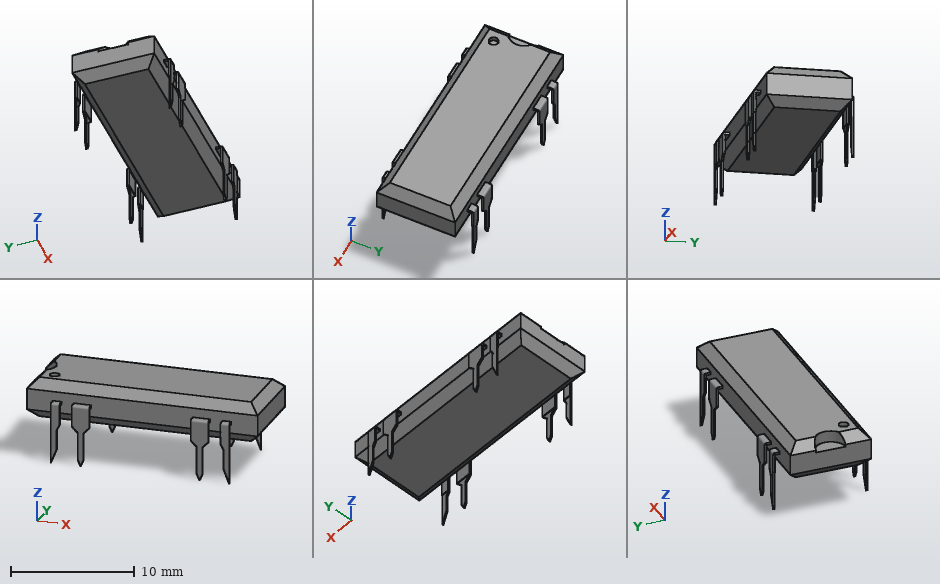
import cadquery as cq

body_length = 19.69
body_width = 7.1
body_height = 3.4
overall_width = 8.3
overall_height = 6.77

edge_bevel = 0.8
notch_radius = 1.3
notch_depth = 1.0
dot_diameter = 0.8
dot_depth = 0.4
dot_from_end = 1.81
dot_from_middle = 1.87

lead_thickness = 0.2
leg_thickness = 0.15
lead_drop = 1.6
bend_radius = lead_thickness

wide_width = 1.5
narrow_width = 0.75
leg_width = 0.5
shoulder_height = (wide_width - leg_width) / 2
wide_tip_height = 0.53
narrow_tip_height = 1.2

wide_center = 5.08
narrow_outer_edge = 7.62

lead_top = body_height - lead_drop
shoulder_top = 0.0
shoulder_bottom = shoulder_top - shoulder_height
tip_bottom = body_height - overall_height
lead_face = overall_width / 2
body_face = body_width / 2


def make_body():
    """Bevelled block with an end notch and a pin-one dot in its top."""
    block = (
        cq.Workplane("XY")
        .box(body_length, body_width, body_height, centered=(True, True, False))
        .faces("<Z or >Z")
        .edges()
        .chamfer(edge_bevel)
    )
    notch = (
        cq.Workplane("XY", origin=(-body_length / 2, 0, body_height - notch_depth))
        .circle(notch_radius)
        .extrude(notch_depth)
    )
    dot_x = dot_from_end - body_length / 2
    dot = (
        cq.Workplane("XY", origin=(dot_x, -dot_from_middle, body_height - dot_depth))
        .circle(dot_diameter / 2)
        .extrude(dot_depth)
    )
    return block.cut(notch).cut(dot)


def make_sheet():
    """Bent strip of full body length on the -Y side, thinner along the legs."""
    bend_y = bend_radius - lead_face
    bend_z = lead_top - bend_radius
    inner_face = lead_thickness - lead_face
    leg_inner_face = leg_thickness - lead_face
    return (
        cq.Workplane("YZ", origin=(-body_length / 2, 0, 0))
        .moveTo(-body_face, lead_top)
        .lineTo(bend_y, lead_top)
        .radiusArc((-lead_face, bend_z), -bend_radius)
        .lineTo(-lead_face, tip_bottom)
        .lineTo(leg_inner_face, tip_bottom)
        .lineTo(leg_inner_face, shoulder_top)
        .lineTo(inner_face, shoulder_top)
        .lineTo(inner_face, lead_top - lead_thickness)
        .lineTo(-body_face, lead_top - lead_thickness)
        .close()
        .extrude(body_length)
    )


def cut_lead(outline_points):
    """Lead on the -Y side, cut from the sheet to an outline in X and Z."""
    outline = (
        cq.Workplane("XZ")
        .polyline(outline_points)
        .close()
        .extrude(lead_face)
    )
    return make_sheet().intersect(outline)


def make_wide_lead():
    """Lead with a leg at its middle and a centered point, on the -X half."""
    half_width = wide_width / 2
    half_leg = leg_width / 2
    tip_top = tip_bottom + wide_tip_height
    return cut_lead([
        (-wide_center - half_width, lead_top),
        (-wide_center - half_width, shoulder_top),
        (-wide_center - half_leg, shoulder_bottom),
        (-wide_center - half_leg, tip_top),
        (-wide_center, tip_bottom),
        (-wide_center + half_leg, tip_top),
        (-wide_center + half_leg, shoulder_bottom),
        (-wide_center + half_width, shoulder_top),
        (-wide_center + half_width, lead_top),
    ])


def make_narrow_lead():
    """Lead with a leg and a point along its outer edge, on the -X half."""
    outer_x = -narrow_outer_edge
    tip_top = tip_bottom + narrow_tip_height
    return cut_lead([
        (outer_x, lead_top),
        (outer_x, tip_bottom),
        (outer_x + leg_width, tip_top),
        (outer_x + leg_width, shoulder_bottom),
        (outer_x + narrow_width, shoulder_top),
        (outer_x + narrow_width, lead_top),
    ])


def four_corners(lead):
    """The lead and its mirror copies in the other three quarters."""
    leads = []
    for row in (lead, lead.mirror("XZ")):
        for copy in (row, row.mirror("YZ")):
            leads.append(copy.val())
    return leads


body = make_body()
wide_leads = four_corners(make_wide_lead())
narrow_leads = four_corners(make_narrow_lead())

result = cq.Compound.makeCompound([body.val(), *wide_leads, *narrow_leads])